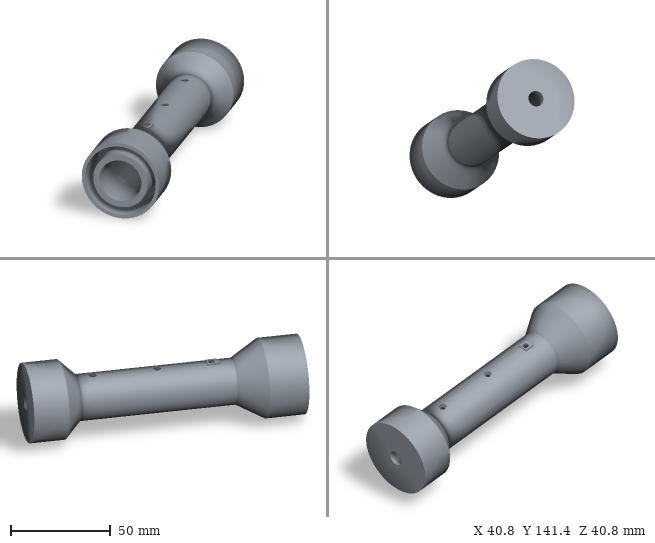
import cadquery as cq

LENGTH = 141.4
HEAD_RADIUS = 20.4
SHANK_RADIUS = 11.9
FRONT_HEAD_END = 20.2
FRONT_TAPER_END = 34.6
BACK_TAPER_START = 114.8
BACK_HEAD_START = 123.3

SOCKET_RADIUS = 11.0
SOCKET_DEPTH = FRONT_HEAD_END
FUNNEL_END = 68.5
THROUGH_RADIUS = 4.0

RECESS_INNER_RADIUS = 14.3
RECESS_OUTER_RADIUS = 18.5
RECESS_DEPTH = FRONT_HEAD_END

SIDE_HOLE_POSITIONS = (73.8, 106.9)
SIDE_HOLE_RADIUS = 1.1
COUNTERBORE_RADIUS = 2.0
COUNTERBORE_DEPTH = 1.0

POINTER_WIDTH = 4.8
POINTER_BACK = 48.2
POINTER_RIDGE = 43.1
POINTER_SHOULDER = 42.7
POINTER_TIP = 40.5
POINTER_TOP = 12.6
POINTER_TIP_TOP = 11.9
WINDOW_SIZE = 3.0
WINDOW_CENTER = 46.0


def turned(profile):
    """Revolve an outline of (radius, y) points about the Y axis."""
    return cq.Workplane("XY").polyline(profile).close().revolve(360, (0, 0), (0, 1))


def make_body():
    return turned([
        (0, 0),
        (HEAD_RADIUS, 0),
        (HEAD_RADIUS, FRONT_HEAD_END),
        (SHANK_RADIUS, FRONT_TAPER_END),
        (SHANK_RADIUS, BACK_TAPER_START),
        (HEAD_RADIUS, BACK_HEAD_START),
        (HEAD_RADIUS, LENGTH),
        (0, LENGTH),
    ])


def make_bore():
    return turned([
        (0, 0),
        (SOCKET_RADIUS, 0),
        (SOCKET_RADIUS, SOCKET_DEPTH),
        (THROUGH_RADIUS, FUNNEL_END),
        (THROUGH_RADIUS, LENGTH),
        (0, LENGTH),
    ])


def make_recess():
    return turned([
        (RECESS_INNER_RADIUS, 0),
        (RECESS_OUTER_RADIUS, 0),
        (RECESS_OUTER_RADIUS, RECESS_DEPTH),
        (RECESS_INNER_RADIUS, RECESS_DEPTH),
    ])


def make_side_hole(y):
    """Stepped cutter running from above the shank down to the bore axis."""
    hole = cq.Workplane("XY", origin=(0, y, 0)).circle(SIDE_HOLE_RADIUS).extrude(SHANK_RADIUS)
    counterbore = (
        cq.Workplane("XY", origin=(0, y, SHANK_RADIUS - COUNTERBORE_DEPTH))
        .circle(COUNTERBORE_RADIUS)
        .extrude(COUNTERBORE_DEPTH)
    )
    return hole.union(counterbore)


def make_pointer():
    """Arrow-shaped pad whose top slopes down from the ridge to the tip."""
    half_width = POINTER_WIDTH / 2
    base = (SHANK_RADIUS + SOCKET_RADIUS) / 2
    outline = (
        cq.Workplane("XY", origin=(0, 0, base))
        .polyline([
            (-half_width, POINTER_BACK),
            (half_width, POINTER_BACK),
            (half_width, POINTER_SHOULDER),
            (0, POINTER_TIP),
            (-half_width, POINTER_SHOULDER),
        ])
        .close()
        .extrude(POINTER_TOP - base)
    )
    side_profile = (
        cq.Workplane("YZ")
        .polyline([
            (POINTER_BACK, base),
            (POINTER_BACK, POINTER_TOP),
            (POINTER_RIDGE, POINTER_TOP),
            (POINTER_TIP, POINTER_TIP_TOP),
            (POINTER_TIP, base),
        ])
        .close()
        .extrude(half_width, both=True)
    )
    return outline.intersect(side_profile)


def make_window():
    """Square opening from the top of the pointer down to the bore axis."""
    return (
        cq.Workplane("XY", origin=(0, WINDOW_CENTER, 0))
        .rect(WINDOW_SIZE, WINDOW_SIZE)
        .extrude(POINTER_TOP)
    )


result = make_body().union(make_pointer())
result = result.cut(make_bore()).cut(make_recess()).cut(make_window())
for hole_y in SIDE_HOLE_POSITIONS:
    result = result.cut(make_side_hole(hole_y))